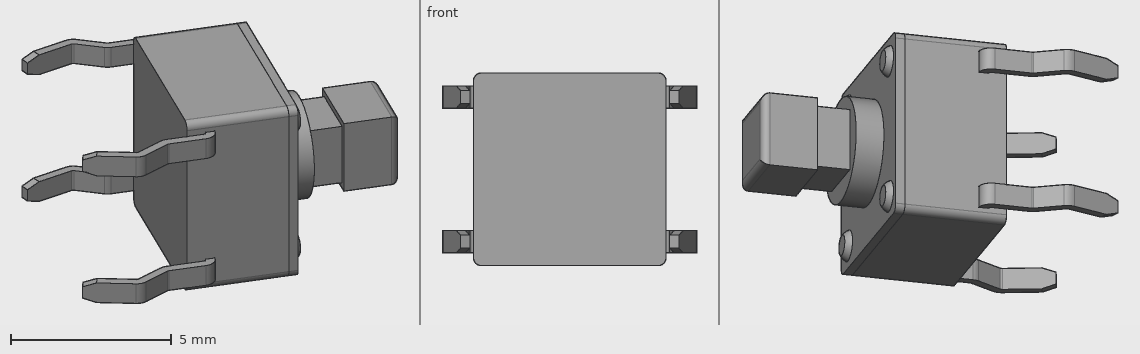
import cadquery as cq
import math


HOUSING_SIZE = 6.0
HOUSING_DEPTH = 3.6
COVER_THICKNESS = 0.3
BASE_DEPTH = HOUSING_DEPTH - COVER_THICKNESS
CORNER_RADIUS = 0.25

STAKE_DIAMETER = 1.0
STAKE_HEAD_HEIGHT = 0.2
STAKE_DOME_RADIUS = 0.56

FOOT_DIAMETER = 3.4
FOOT_HEIGHT = 0.9
STEM_SIZE = 2.0
STEM_HEIGHT = 1.1
CAP_SIZE = 2.4
CAP_HEIGHT = 1.8
CAP_ROUNDING = 0.25

PATTERN_OFFSET = 2.25

LEAD_WIDTH = 0.7
LEAD_THICKNESS = 0.3
LEAD_EMBED = 0.5
LEAD_SHANK_X = 3.25
BEND_RADIUS = 0.25
SHOULDER_END_Y = 0.5
KINK_START_Y = -0.7
KINK_ANGLE = 30.0
KINK_LENGTH = 0.97
TIP_ANGLE = 18.8
TIP_LENGTH = 1.67
TAPER_LENGTH = 0.44
TAPER_END_WIDTH = 0.4


def square_prism(size, start_y, depth):
    """Square block centred on the Y axis, from start_y towards +Y."""
    return cq.Workplane("XZ", origin=(0, start_y, 0)).rect(size, size).extrude(-depth)


def cylinders(diameter, start_y, length, centres):
    """Cylinders along +Y at the given (x, z) centres."""
    plane = cq.Workplane("XZ", origin=(0, start_y, 0))
    return plane.pushPoints(centres).circle(diameter / 2).extrude(-length)


SIGNS = (-1, 1)
PATTERN = [(sx * PATTERN_OFFSET, sz * PATTERN_OFFSET) for sx in SIGNS for sz in SIGNS]
CENTRE = [(0, 0)]


def turn(path, point, heading, radius, angle):
    """Extend the path by an arc; a positive angle turns counterclockwise."""
    side = math.copysign(90, angle)
    start = math.radians(heading - side)
    middle = math.radians(heading - side + angle / 2)
    end = math.radians(heading - side + angle)
    centre_x = point[0] - radius * math.cos(start)
    centre_y = point[1] - radius * math.sin(start)

    def on_arc(direction):
        return (centre_x + radius * math.cos(direction), centre_y + radius * math.sin(direction))

    return path.threePointArc(on_arc(middle), on_arc(end)), on_arc(end), heading + angle


def advance(path, point, heading, length):
    """Extend the path by a straight stretch along the heading."""
    direction = math.radians(heading)
    end = (point[0] + length * math.cos(direction), point[1] + length * math.sin(direction))
    return path.lineTo(*end), end


def make_lead():
    """Lead on the +X side, centred on Z = 0."""
    start = (HOUSING_SIZE / 2 - LEAD_EMBED, SHOULDER_END_Y + BEND_RADIUS)
    path = cq.Workplane("XY").moveTo(*start)
    path, point = advance(path, start, 0, LEAD_SHANK_X - BEND_RADIUS - start[0])
    path, point, heading = turn(path, point, 0, BEND_RADIUS, -90)
    path, point = advance(path, point, heading, SHOULDER_END_Y - KINK_START_Y)
    path, point, heading = turn(path, point, heading, BEND_RADIUS, KINK_ANGLE)
    path, point = advance(path, point, heading, KINK_LENGTH)
    path, point, heading = turn(path, point, heading, BEND_RADIUS, -(KINK_ANGLE + TIP_ANGLE))
    path, tip = advance(path, point, heading, TIP_LENGTH)

    section = cq.Workplane("YZ", origin=(*start, 0)).rect(LEAD_THICKNESS, LEAD_WIDTH)
    strip = section.sweep(path)

    direction = math.radians(heading)
    along = cq.Vector(math.cos(direction), math.sin(direction), 0)
    width_direction = cq.Vector(0, 0, 1)
    tip_plane = cq.Plane(origin=(*tip, 0), xDir=along, normal=along.cross(width_direction))
    for side in SIGNS:
        wedge = (
            cq.Workplane(tip_plane)
            .moveTo(-TAPER_LENGTH, side * LEAD_WIDTH / 2)
            .lineTo(0, side * LEAD_WIDTH / 2)
            .lineTo(0, side * TAPER_END_WIDTH / 2)
            .close()
            .extrude(LEAD_THICKNESS, both=True)
        )
        strip = strip.cut(wedge)
    return strip


def make_leads():
    """Four separate leads, mirrored about the YZ plane."""
    right_lead = make_lead()
    left_lead = right_lead.mirror("YZ")
    return [
        lead.translate((0, 0, side * PATTERN_OFFSET))
        for lead in (left_lead, right_lead)
        for side in SIGNS
    ]


def make_stake(centre):
    """Stake filling its cover hole, with a flat-topped spherical head above the cover."""
    shank = cylinders(STAKE_DIAMETER, BASE_DEPTH, COVER_THICKNESS, [centre])
    head = cylinders(STAKE_DIAMETER, HOUSING_DEPTH, STAKE_HEAD_HEIGHT, [centre])
    sphere_y = HOUSING_DEPTH - math.sqrt(STAKE_DOME_RADIUS**2 - (STAKE_DIAMETER / 2) ** 2)
    sphere = cq.Workplane("XY").sphere(STAKE_DOME_RADIUS).translate((centre[0], sphere_y, centre[1]))
    return shank.union(head.intersect(sphere))


def make_base(leads):
    """Base block with its stakes and a matching socket for each lead."""
    base = square_prism(HOUSING_SIZE, 0, BASE_DEPTH).edges("|Y").fillet(CORNER_RADIUS)
    for centre in PATTERN:
        base = base.union(make_stake(centre))
    for lead in leads:
        base = base.cut(lead)
    return base


def make_cover():
    """Cover plate with holes for the stakes and the plunger foot."""
    cover = square_prism(HOUSING_SIZE, BASE_DEPTH, COVER_THICKNESS)
    cover = cover.edges("|Y").fillet(CORNER_RADIUS)
    cover = cover.cut(cylinders(STAKE_DIAMETER, BASE_DEPTH, COVER_THICKNESS, PATTERN))
    return cover.cut(cylinders(FOOT_DIAMETER, BASE_DEPTH, COVER_THICKNESS, CENTRE))


def make_plunger():
    """Plunger standing on the base and rising through the cover."""
    stem_start = HOUSING_DEPTH + FOOT_HEIGHT
    cap_start = stem_start + STEM_HEIGHT
    foot = cylinders(FOOT_DIAMETER, BASE_DEPTH, COVER_THICKNESS + FOOT_HEIGHT, CENTRE)
    stem = square_prism(STEM_SIZE, stem_start, STEM_HEIGHT)
    cap = square_prism(CAP_SIZE, cap_start, CAP_HEIGHT)
    cap = cap.faces(">Y").edges().fillet(CAP_ROUNDING)
    return foot.union(stem).union(cap)


leads = make_leads()
base = make_base(leads)
cover = make_cover()
plunger = make_plunger()

result = cq.Compound.makeCompound(
    [base.val(), cover.val(), plunger.val(), *[lead.val() for lead in leads]]
)